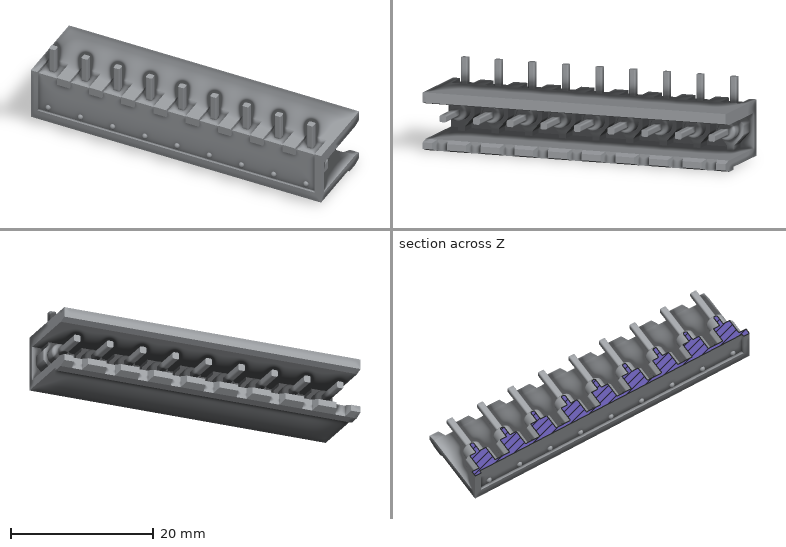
import cadquery as cq

LENGTH = 45.7
DEPTH = 12.0
HEIGHT = 8.1
OVERALL_HEIGHT = 12.0
BACK_WALL = 0.95
CAVITY_FLOOR = 1.25
CAVITY_CEILING = 6.3
LIP_LENGTH = 1.2
LIP_RISE = 0.3

BARB_HEIGHT = 0.4
BARB_RAMP = 1.33
BARB_LENGTH = 3.0

SLOT_MOUTH_WIDTH = 2.25
SLOT_BACK_WIDTH = 1.5
SLOT_DEPTH = 1.33

CONTACT_COUNT = 9
PITCH = 5.07
END_MARGIN = (LENGTH - (CONTACT_COUNT - 1) * PITCH) / 2

NOTCH_WIDTH = 3.05
NOTCH_DEPTH = 0.4
NOTCH_FLOOR_END = 3.3
NOTCH_RAMP = 0.45
RECESS_DEPTH = 0.4
RECESS_FLOOR = 1.4
TAB_HEIGHT = 1.2
DOT_RADIUS = 0.4
DOT_HEIGHT = 2.2

PIN_SIZE = 1.0
PIN_ROUND = 0.25
SOLDER_PIN_Y = 2.0
SOLDER_PIN_TOP = OVERALL_HEIGHT - BARB_HEIGHT
MATING_PIN_Z = 4.25
MATING_PIN_END = 10.75

BLOCK_END = 3.45
BLOCK_HALF_WIDTH = 1.95
FOOT_HALF_WIDTH = 0.55
FOOT_TOP = 1.9
FLANK_BOTTOM = 3.5
FLANK_TOP = 5.0
NECK_HALF_WIDTH = 1.15
NECK_BOTTOM = 5.8
BLOCK_ROUND = 0.4
COLLAR_DIAMETER = 2.75
COLLAR_END = 5.35
COLLAR_ROUND = 0.4


def along_y(x, y, z):
    """Workplane at a point, facing +Y, with local x along +X and local y along -Z."""
    return cq.Workplane(cq.Plane(origin=(x, y, z), xDir=(1, 0, 0), normal=(0, 1, 0)))


def make_housing():
    """Channel with the latch barb and the bevelled lips at its mouth."""
    barb_heel = DEPTH - BARB_LENGTH
    profile = [
        (0, 0),
        (barb_heel, 0),
        (barb_heel, -BARB_HEIGHT),
        (DEPTH - BARB_RAMP, -BARB_HEIGHT),
        (DEPTH, 0),
        (DEPTH, CAVITY_FLOOR - LIP_RISE),
        (DEPTH - LIP_LENGTH, CAVITY_FLOOR),
        (BACK_WALL, CAVITY_FLOOR),
        (BACK_WALL, CAVITY_CEILING),
        (DEPTH - LIP_LENGTH, CAVITY_CEILING),
        (DEPTH, CAVITY_CEILING + LIP_RISE),
        (DEPTH, HEIGHT),
        (0, HEIGHT),
    ]
    return cq.Workplane("YZ").polyline(profile).close().extrude(LENGTH)


def make_recess():
    """Shallow pocket in the front face, stopping below the tabs between the notches."""
    first_edge = END_MARGIN - NOTCH_WIDTH / 2
    width = LENGTH - 2 * first_edge
    height = HEIGHT - TAB_HEIGHT - RECESS_FLOOR
    pocket = cq.Workplane("XY").box(width, RECESS_DEPTH, height, centered=False)
    return pocket.translate((first_edge, 0, RECESS_FLOOR))


def make_notch(x):
    """Notch in the top face with a sloped inner end, open into the front recess."""
    floor = HEIGHT - NOTCH_DEPTH
    profile = [
        (0, HEIGHT - TAB_HEIGHT),
        (RECESS_DEPTH, HEIGHT - TAB_HEIGHT),
        (RECESS_DEPTH, floor),
        (NOTCH_FLOOR_END, floor),
        (NOTCH_FLOOR_END + NOTCH_RAMP, HEIGHT),
        (0, HEIGHT),
    ]
    start = x - NOTCH_WIDTH / 2
    return cq.Workplane("YZ", origin=(start, 0, 0)).polyline(profile).close().extrude(NOTCH_WIDTH)


def make_lip_slot(x):
    """Slot through the lower lip and barb, narrowing away from its mouth."""
    slot_back = DEPTH - SLOT_DEPTH
    outline = [
        (x - SLOT_BACK_WIDTH / 2, slot_back),
        (x + SLOT_BACK_WIDTH / 2, slot_back),
        (x + SLOT_MOUTH_WIDTH / 2, DEPTH),
        (x - SLOT_MOUTH_WIDTH / 2, DEPTH),
    ]
    slot = cq.Workplane("XY", origin=(0, 0, -BARB_HEIGHT)).polyline(outline).close()
    return slot.extrude(BARB_HEIGHT + CAVITY_FLOOR)


def make_solder_pin(x):
    """Upright pin, rooted in the housing below the notch floor."""
    floor = HEIGHT - TAB_HEIGHT
    pin = cq.Workplane("XY", origin=(x, SOLDER_PIN_Y, floor)).rect(PIN_SIZE, PIN_SIZE)
    return pin.extrude(SOLDER_PIN_TOP - floor).edges("|Z").fillet(PIN_ROUND)


def make_mating_pin(x):
    """Pin along +Y with a round collar at its base."""
    pin = along_y(x, BACK_WALL, MATING_PIN_Z).rect(PIN_SIZE, PIN_SIZE)
    pin = pin.extrude(MATING_PIN_END - BACK_WALL).edges("|Y").fillet(PIN_ROUND)
    collar = along_y(x, BACK_WALL, MATING_PIN_Z).circle(COLLAR_DIAMETER / 2)
    collar = collar.extrude(COLLAR_END - BACK_WALL).faces(">Y").edges().fillet(COLLAR_ROUND)
    return collar.union(pin)


def make_block(x):
    """Keyed block: a narrow foot that flares to wide flanks and narrows to the ceiling."""
    right_side = [
        (FOOT_HALF_WIDTH, CAVITY_FLOOR),
        (FOOT_HALF_WIDTH, FOOT_TOP),
        (BLOCK_HALF_WIDTH, FLANK_BOTTOM),
        (BLOCK_HALF_WIDTH, FLANK_TOP),
        (NECK_HALF_WIDTH, NECK_BOTTOM),
        (NECK_HALF_WIDTH, CAVITY_CEILING),
    ]
    left_side = [(-half_width, z) for half_width, z in reversed(right_side)]
    outline = [(half_width, -z) for half_width, z in right_side + left_side]
    block = along_y(x, BACK_WALL, 0).polyline(outline).close().extrude(BLOCK_END - BACK_WALL)
    rounded_zone = cq.selectors.BoxSelector(
        (x - PITCH, 0, CAVITY_FLOOR + BLOCK_ROUND),
        (x + PITCH, DEPTH, CAVITY_CEILING - BLOCK_ROUND),
    )
    return block.edges("|Y").edges(rounded_zone).fillet(BLOCK_ROUND)


def make_dot(x):
    """Half-round bump on the floor of the front recess."""
    return cq.Workplane("XY").sphere(DOT_RADIUS).translate((x, RECESS_DEPTH, DOT_HEIGHT))


result = make_housing().cut(make_recess())
for index in range(CONTACT_COUNT):
    contact_x = END_MARGIN + index * PITCH
    result = result.cut(make_notch(contact_x)).cut(make_lip_slot(contact_x))
    for feature in (make_solder_pin, make_block, make_mating_pin, make_dot):
        result = result.union(feature(contact_x))